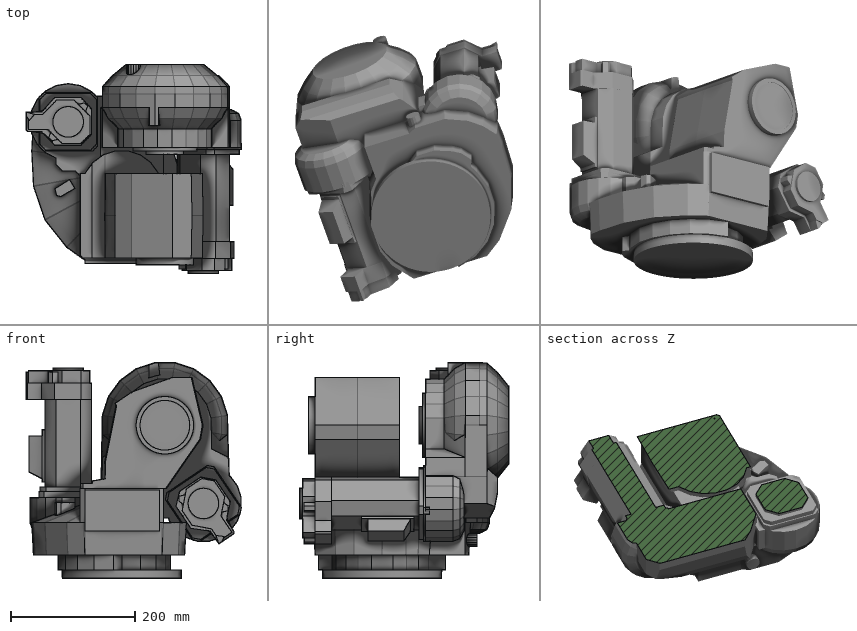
import math

import cadquery as cq

FLANGE_RADIUS = 96.0
FLANGE_TOP = 13.6
NECK_TOP = 37.4
NECK_RADIUS = 103.5
NECK_INNER_RADIUS = 80.5
NECK_STEP = 18.0
NECK_NOTCH_ANGLE = 154.5
BODY_RIM = 89.8
BODY_TAPER = -3.0
BODY_APEX = (37.0, 40.0, 157.0)
ROOF_RIGHT = -60.0
ROOF_SCALE = 0.4

FOOT_ROUND_RADIUS = 65.5
FOOT_ROUND_STEP = 18.0

TOWER_FRONT = -108.0
TOWER_BACK = 28.3
PLINTH_LEFT = -67.4
PLINTH_RIGHT = 67.6
PLINTH_TOP = 145.0
PLINTH_CORNER = (7.8, 5.5)
PLINTH_FRONT = -110.6
FOOT_LEFT = -66.2
FOOT_CHAMFER = 3.8
FOOT_TOP = 153.0
FOOT_STEP_X = -47.6
FOOT_STEP_TOP = 157.0
FOOT_CREST = (-26.7, 160.5)
TOWER_SPLIT = -39.6
TOWER_DRAFT = 1.3
TOWER_TOP = 323.6
TOWER_HEEL_X = 70.9
COVER_LEFT = -59.6
COVER_RIGHT = 61.0
COVER_BOTTOM = 76.5
COVER_TOP = 142.3
COVER_FRONT = -117.0
BRIDGE_LEFT = -34.2
BRIDGE_BACK = 133.5
BRIDGE_TOP = 144.5

SHOULDER_X = 69.5
SHOULDER_Z = 246.6
BOSS_RADIUS = 46.3
BOSS_RIM = 6.3
BOSS_FRONT = -118.7
BOSS_RECESS = 1.0

DOME_SIDES = 20
HOUSING_FRONT = 70.0
DOME_BACK = 204.0
DOME_SECTIONS = (
    (HOUSING_FRONT, 74.2),
    (100.0, 74.2),
    (116.6, 91.3),
    (134.2, 100.9),
    (156.7, 100.9),
    (168.7, 100.2),
    (186.0, 84.6),
    (DOME_BACK, 62.4),
)
HUB_RADIUS = 51.6
HUB_FRONT = 64.7
HUB_CENTRE_RADIUS = 30.2
HUB_CENTRE_FRONT = 59.0
HOUSING_LEFT = -33.0
HOUSING_RIGHT = 173.3
HOUSING_BOTTOM = 97.0
LUG_FRONT = 106.0
PLUG_RADIUS = 11.0
PLUG_SIDES = 16
DOME_PLUG_X = 19.0
DOME_PLUG_Z = 299.0
DOME_PLUG_FRONT = 169.0
BODY_PLUG_X = -20.0
BODY_PLUG_Z = 62.0
BODY_PLUG_FRONT = 120.0
BODY_PLUG_BACK = 153.0

POD_RADIUS = 61.6
POD_SIDES = 20
POD_STEPS = ((0.0, 45.0), (6.5, 57.5), (17.5, POD_RADIUS))
POD1_BOTTOM = 72.2
POD1_TOP = 130.0
POD2_BACK = 131.5
POD2_FRONT = HOUSING_FRONT
POD2_TURN = 9.0
MOTOR1_X = -86.3
MOTOR1_Y = 111.5
MOTOR2_X = 131.5
MOTOR2_Z = 120.6
MOTOR2_BASE = 59.0
MOTOR2_TURN = 124.0
MOUNT_HEIGHT = 17.3
MOUNT_STEP = 9.6
MOUNT_HALF = 47.3
MOUNT_UPPER_HALF = 45.6
MOUNT_CHAMFER = 8.0
MOUNT_UPPER_CHAMFER = 9.6
MOTOR_HALF = 37.6
MOTOR_CHAMFER = 17.6
MOTOR_LENGTH = 140.4
CAP_HEIGHT = 26.8
LID_HEIGHT = 20.0
KNOB_HEIGHT = 4.6
KNOB_RADIUS = 24.6
ARM_REACH = 67.8
LATCH_HEIGHT = 17.6


def box(x, y, z):
    """Box between the two coordinates given for each axis."""
    size = (x[1] - x[0], y[1] - y[0], z[1] - z[0])
    return cq.Workplane("XY").box(*size, centered=False).translate((x[0], y[0], z[0]))


def prism_z(points, bottom, top):
    return cq.Workplane("XY").workplane(offset=bottom).polyline(points).close().extrude(top - bottom)


def prism_y(points, front, back):
    """Prism along Y from an (x, z) outline."""
    return cq.Workplane("XZ").workplane(offset=-back).polyline(points).close().extrude(back - front)


def disc_y(x, z, radius, front, back):
    return cq.Workplane("XZ").workplane(offset=-back).center(x, z).circle(radius).extrude(back - front)


def ring_points(radius, angles):
    return [(radius * math.cos(math.radians(a)), radius * math.sin(math.radians(a))) for a in angles]


def chamfered_square(half, chamfer, bottom, top):
    return (
        cq.Workplane("XY").workplane(offset=bottom)
        .rect(2 * half, 2 * half).extrude(top - bottom)
        .edges("|Z").chamfer(chamfer)
    )


def ruled_solid(wires):
    return cq.Workplane(cq.Solid.makeLoft(wires, True))


def polygon_wire(points):
    return cq.Wire.makePolygon([cq.Vector(*p) for p in points], close=True)


def make_base():
    """Round flange under a many-sided neck that is narrower on the +X side."""
    flange = cq.Workplane("XY").circle(FLANGE_RADIUS).extrude(FLANGE_TOP)
    wide = ring_points(NECK_RADIUS, [NECK_NOTCH_ANGLE + NECK_STEP * i for i in range(7)])
    narrow = ring_points(NECK_INNER_RADIUS, [-90.0, -68.0, -46.5, -29.0, -12.5, 12.5, 29.0, 46.5, 68.0])
    pad = [(-10.0, 102.1), (-40.0, 102.1), (-68.0, 91.2), (-80.0, 83.4), (-92.0, 67.6)]
    notch = (-87.0, 57.0)
    neck = prism_z(wide + narrow + pad + [notch], FLANGE_TOP, NECK_TOP)
    return flange.union(neck)


BODY_OUTLINE = [
    (-59.5, -108.0), (65.0, -108.0), (91.0, -75.0), (101.3, -45.0), (101.3, 0.0), (88.0, 38.0),
    (82.0, 58.0), (40.0, 110.0), (-20.0, 139.6), (-70.0, 139.6), (-105.0, 124.5), (-125.0, 108.0),
    (-141.0, 87.5), (-142.3, 64.7), (-139.5, 8.6), (-121.3, -45.0), (-86.8, -88.4),
]


def make_body():
    """Tapered body with roof faces rising toward the tower on the -X side."""
    body = (
        cq.Workplane("XY").workplane(offset=NECK_TOP)
        .polyline(BODY_OUTLINE).close()
        .extrude(BODY_RIM - NECK_TOP, taper=BODY_TAPER)
    )
    rim = [v.toTuple() for v in body.faces(">Z").wires().vals()[0].Vertices()]

    def toward_apex(point):
        return tuple(a + ROOF_SCALE * (p - a) for p, a in zip(point, BODY_APEX))

    roof = ruled_solid([polygon_wire(rim), polygon_wire([toward_apex(p) for p in rim])])
    far = 2 * NECK_RADIUS
    roof = roof.intersect(box((-far, ROOF_RIGHT), (-far, far), (NECK_TOP, far)))
    return body.union(roof)


def make_roof_lug():
    lug_top = 122.0
    outline = [(-107.5, 4.0), (-84.2, 18.5), (-75.4, 4.5), (-98.0, -9.0), (-105.0, -7.0)]
    return prism_z(outline, BODY_RIM, lug_top)


def tower_wire(y, draft):
    """Tower outline at the given y, with both sides moved out by the draft."""
    outline = [
        (TOWER_HEEL_X + draft, PLINTH_TOP), (125.7 + draft, 224.0), (129.7 + draft, SHOULDER_Z),
        (111.8 + draft, TOWER_TOP), (81.6, TOWER_TOP), (16.0, 300.0), (-10.5, 282.0),
        (-8.3 - draft, 277.5), (-26.2 - draft, 188.0), FOOT_CREST, (FOOT_STEP_X, FOOT_STEP_TOP),
        (FOOT_STEP_X, PLINTH_TOP),
    ]
    return polygon_wire([(x, y, z) for x, z in outline])


def make_foot():
    """Foot of the tower, its rear end rounded about the Z axis."""
    outline = [
        (FOOT_LEFT, NECK_TOP), (FOOT_LEFT, FOOT_TOP), (FOOT_STEP_X, FOOT_TOP), (FOOT_STEP_X, FOOT_STEP_TOP),
        FOOT_CREST, (PLINTH_RIGHT, FOOT_CREST[1]), (PLINTH_RIGHT, NECK_TOP),
    ]
    rear = prism_y(outline, 0, FOOT_ROUND_RADIUS)
    angles = [FOOT_ROUND_STEP * (i + 0.5) for i in range(round(360 / FOOT_ROUND_STEP))]
    rear = rear.intersect(prism_z(ring_points(FOOT_ROUND_RADIUS, angles), NECK_TOP, TOWER_TOP))
    ledge = box((FOOT_LEFT, 0), (TOWER_FRONT, TOWER_BACK), (PLINTH_TOP, FOOT_TOP))
    ledge = ledge.edges("|Z and <X and <Y").chamfer(FOOT_CHAMFER)
    return ledge.union(rear)


def make_tower():
    plinth_plan = [
        (PLINTH_LEFT, TOWER_BACK), (PLINTH_LEFT, PLINTH_FRONT + PLINTH_CORNER[1]),
        (PLINTH_LEFT + PLINTH_CORNER[0], PLINTH_FRONT), (PLINTH_RIGHT, PLINTH_FRONT),
        (PLINTH_RIGHT, TOWER_BACK),
    ]
    plinth = prism_z(plinth_plan, BODY_RIM, PLINTH_TOP)
    front_wire = tower_wire(TOWER_FRONT, 0)
    split_wire = tower_wire(TOWER_SPLIT, TOWER_DRAFT)
    back_wire = tower_wire(TOWER_BACK, 0)
    tower = ruled_solid([front_wire, split_wire]).union(ruled_solid([split_wire, back_wire]))
    cover = box((COVER_LEFT, COVER_RIGHT), (COVER_FRONT, TOWER_FRONT), (COVER_BOTTOM, COVER_TOP))
    boss = disc_y(SHOULDER_X, SHOULDER_Z, BOSS_RADIUS, BOSS_FRONT, TOWER_FRONT)
    recess = disc_y(SHOULDER_X, SHOULDER_Z, BOSS_RADIUS - BOSS_RIM, BOSS_FRONT, BOSS_FRONT + BOSS_RECESS)
    bridge = box((BRIDGE_LEFT, PLINTH_RIGHT), (0, BRIDGE_BACK), (NECK_TOP, BRIDGE_TOP))
    tower = tower.union(plinth).union(make_foot()).union(cover)
    return tower.union(boss).cut(recess).union(bridge)


def dome_wire(y, apothem):
    step = 360.0 / DOME_SIDES
    radius = apothem / math.cos(math.radians(step / 2))
    ring = ring_points(radius, [step * (i + 0.5) for i in range(DOME_SIDES)])
    return polygon_wire([(SHOULDER_X + x, y, SHOULDER_Z + z) for x, z in ring])


def make_dome():
    wires = [dome_wire(y, apothem) for y, apothem in DOME_SECTIONS]
    dome = ruled_solid(wires[:2])
    for lower, upper in zip(wires[1:], wires[2:]):
        dome = dome.union(ruled_solid([lower, upper]))
    hub = disc_y(SHOULDER_X, SHOULDER_Z, HUB_RADIUS, HUB_FRONT, HOUSING_FRONT)
    centre = disc_y(SHOULDER_X, SHOULDER_Z, HUB_CENTRE_RADIUS, HUB_CENTRE_FRONT, HUB_FRONT)
    return dome.union(hub).union(centre)


def make_dome_lug():
    """Lug on the front slope of the dome, ending flush with its rim."""
    lug_back, apothem = DOME_SECTIONS[4]
    outline = [(43.4, 322.5), (61.3, 327.5), (57.3, 360.0), (44.9, 360.0)]
    lug = prism_y(outline, LUG_FRONT, lug_back)
    return lug.intersect(ruled_solid([dome_wire(LUG_FRONT, apothem), dome_wire(lug_back, apothem)]))


def leg_wire(y, half_width):
    """Straight-sided outline below the shoulder axis, slightly wider at its foot."""
    flare = 2.0
    foot = 160.0
    top = SHOULDER_Z + half_width * math.tan(math.pi / DOME_SIDES)
    outline = [
        (SHOULDER_X - half_width - flare, foot), (SHOULDER_X + half_width + flare, foot),
        (SHOULDER_X + half_width, top), (SHOULDER_X - half_width, top),
    ]
    return polygon_wire([(x, y, z) for x, z in outline])


def make_lower_housing():
    """Block joining the dome to the body and to the second gear pod."""
    left = HOUSING_LEFT
    right = HOUSING_RIGHT
    bottom = HOUSING_BOTTOM
    right_foot = right - 60
    right_top = 164.0
    draft = 2.0
    shelf_outer = 195.0
    shelf_inner = 208.0
    shelf_half = 76.0
    outline = [
        (left, bottom), (right_foot, bottom), (right, MOTOR2_Z), (right, right_top),
        (right - draft, shelf_outer), (SHOULDER_X + shelf_half, shelf_inner),
        (SHOULDER_X - shelf_half, shelf_inner), (left + draft, shelf_outer),
    ]
    block = prism_y(outline, HOUSING_FRONT, BRIDGE_BACK)

    collar = DOME_SECTIONS[0][1]
    slope_start = DOME_SECTIONS[1][0]
    widest_y, widest = DOME_SECTIONS[3]
    rear_y = DOME_SECTIONS[5][0]
    narrow_leg = ruled_solid([leg_wire(HOUSING_FRONT, collar), leg_wire(slope_start, collar)])
    sloped_leg = ruled_solid([leg_wire(slope_start, collar), leg_wire(widest_y, widest)])

    right_wall_outline = [
        (SHOULDER_X, bottom), (right_foot, bottom), (right, MOTOR2_Z), (right, right_top),
        (SHOULDER_X + widest, SHOULDER_Z), (SHOULDER_X, SHOULDER_Z),
    ]
    right_wall = prism_y(right_wall_outline, BRIDGE_BACK, rear_y)
    left_rear = left + 24.0
    left_wall_top = 204.0
    left_wall_plan = [
        (left, BRIDGE_BACK), (left_rear, rear_y), (SHOULDER_X, rear_y), (SHOULDER_X, BRIDGE_BACK),
    ]
    left_wall = prism_z(left_wall_plan, bottom, left_wall_top)

    rear_face = 186.0
    bevel = 17.0
    rear_plan = [
        (left_rear, rear_y), (left_rear + bevel, rear_face), (right - bevel, rear_face), (right, rear_y),
    ]
    lean = [
        (rear_y, bottom), (173.0, bottom), (180.7, 112.0), (rear_face, 138.0), (rear_face, 163.0),
        (rear_y, 178.0),
    ]
    lean_prism = cq.Workplane("YZ").workplane(offset=left).polyline(lean).close().extrude(right - left)
    underside = prism_y(outline, rear_y, rear_face)
    rear_wall = prism_z(rear_plan, bottom, SHOULDER_Z).intersect(lean_prism).intersect(underside)

    housing = block
    for piece in (narrow_leg, sloped_leg, right_wall, left_wall, rear_wall):
        housing = housing.union(piece)
    return housing


def make_plug(x, z, front, back):
    plug = cq.Workplane("XZ").workplane(offset=-back).center(x, z)
    return plug.polygon(PLUG_SIDES, 2 * PLUG_RADIUS).extrude(back - front)


def make_pod(height):
    """Polygonal pod standing on z = 0 with its bottom edge rounded in steps."""
    pod = cq.Workplane("XY").workplane(offset=POD_STEPS[-1][0])
    pod = pod.polygon(POD_SIDES, 2 * POD_RADIUS).extrude(height - POD_STEPS[-1][0])
    angles = [360.0 / POD_SIDES * i for i in range(POD_SIDES)]
    wires = [polygon_wire([(x, y, z) for x, y in ring_points(r, angles)]) for z, r in POD_STEPS]
    for lower, upper in zip(wires, wires[1:]):
        pod = pod.union(ruled_solid([lower, upper]))
    return pod


def make_pod_link():
    """Plate joining the first pod to the tower foot, with a stepped front edge."""
    outline = [
        (-105.6, 52.7), (-105.6, 42.5), (-96.0, 32.6), (-75.4, 32.6), (-67.0, 24.6),
        (-30.0, 40.0), (-30.0, 153.0), (-40.0, 153.0), (MOTOR1_X, MOTOR1_Y),
    ]
    return prism_z(outline, BODY_RIM, POD1_TOP)


def make_connector():
    """Cable box on the -X side of the motor: a thin pad and a tapering box."""
    pad_x = -42.1
    box_x = -63.2
    pad = box((pad_x, -MOTOR_HALF), (-18.5, 18.0), (7.7, 92.3))
    inner = [(pad_x, -18.0, 13.0), (pad_x, 17.5, 13.0), (pad_x, 17.5, 82.0), (pad_x, -18.0, 82.0)]
    outer = [(box_x, -15.0, 24.0), (box_x, 14.5, 24.0), (box_x, 14.5, 82.0), (box_x, -15.0, 82.0)]
    return pad.union(ruled_solid([polygon_wire(inner), polygon_wire(outer)]))


def make_motor():
    """Motor along +Z with its seat on z = 0 and the cap arm pointing to -X."""
    lower_mount = chamfered_square(MOUNT_HALF, MOUNT_CHAMFER, -MOUNT_HEIGHT, MOUNT_STEP - MOUNT_HEIGHT)
    upper_mount = chamfered_square(MOUNT_UPPER_HALF, MOUNT_UPPER_CHAMFER, MOUNT_STEP - MOUNT_HEIGHT, 0)
    case = chamfered_square(MOTOR_HALF, MOTOR_CHAMFER, 0, MOTOR_LENGTH)
    cap_outline = [
        (-21.7, 39.2), (20.8, 39.2), (MOTOR_HALF, 21.3), (MOTOR_HALF, -20.5), (20.5, -37.7),
        (-21.7, -37.7), (-43.2, -15.7), (-65.4, -15.7), (-ARM_REACH, -13.0),
        (-ARM_REACH, 15.7), (-43.2, 15.7),
    ]
    lid_outline = [
        (-18.7, 34.8), (9.6, 34.8), (34.8, 9.6), (34.8, -20.3), (20.3, -34.8), (-9.9, -34.8),
        (-32.6, -12.1), (-64.2, -12.1), (-64.2, 4.4), (-62.5, 2.4), (-54.0, 12.1), (-41.2, 12.1),
    ]
    latch_outline = [(-ARM_REACH, 15.7), (-54.0, 12.1), (-62.5, 2.4), (-64.2, 4.4), (-ARM_REACH, 10.0)]
    cap_top = MOTOR_LENGTH + CAP_HEIGHT
    lid_top = cap_top + LID_HEIGHT
    motor = lower_mount.union(upper_mount).union(case).union(make_connector())
    motor = motor.union(prism_z(cap_outline, MOTOR_LENGTH, cap_top))
    motor = motor.union(prism_z(lid_outline, cap_top, lid_top))
    motor = motor.union(prism_z(latch_outline, cap_top, cap_top + LATCH_HEIGHT))
    clip_outline = [(16.5, 28.0), (25.5, 30.5), (31.5, 26.0), (27.8, 16.0)]
    clip = prism_z(clip_outline, cap_top, cap_top + LATCH_HEIGHT)
    for turn in (0, 180):
        motor = motor.union(clip.rotate((0, 0, 0), (0, 0, 1), turn))
    knob = cq.Workplane("XY").workplane(offset=lid_top).circle(KNOB_RADIUS).extrude(KNOB_HEIGHT)
    return motor.union(knob)


def turn_to_front(shape):
    """Turn a part standing along +Z so that it points to -Y."""
    return shape.rotate((0, 0, 0), (1, 0, 0), 90)


motor = make_motor()
upright_motor = motor.translate((MOTOR1_X, MOTOR1_Y, POD1_TOP + MOUNT_HEIGHT))
turned_motor = motor.rotate((0, 0, 0), (0, 0, 1), MOTOR2_TURN)
lying_motor = turn_to_front(turned_motor).translate((MOTOR2_X, MOTOR2_BASE, MOTOR2_Z))
upright_pod = make_pod(POD1_TOP - POD1_BOTTOM).translate((MOTOR1_X, MOTOR1_Y, POD1_BOTTOM))
turned_pod = make_pod(POD2_BACK - POD2_FRONT).rotate((0, 0, 0), (0, 0, 1), POD2_TURN)
lying_pod = turn_to_front(turned_pod).translate((MOTOR2_X, POD2_BACK, MOTOR2_Z))

result = make_base()
for feature in (
    make_body(),
    make_roof_lug(),
    make_tower(),
    make_dome(),
    make_lower_housing(),
    make_dome_lug(),
    make_plug(DOME_PLUG_X, DOME_PLUG_Z, DOME_PLUG_FRONT, DOME_BACK),
    make_plug(BODY_PLUG_X, BODY_PLUG_Z, BODY_PLUG_FRONT, BODY_PLUG_BACK),
    upright_pod,
    make_pod_link(),
    lying_pod,
    upright_motor,
    lying_motor,
):
    result = result.union(feature)